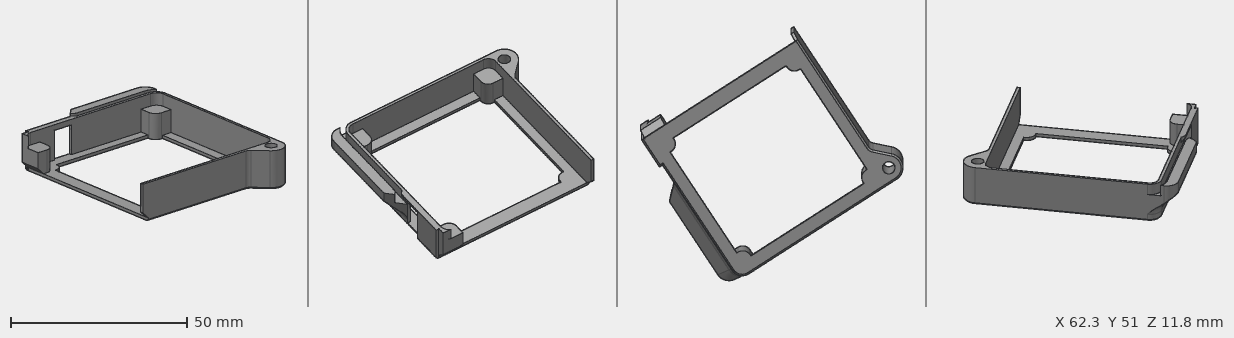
import cadquery as cq
import math

LENGTH = 62.3
DEPTH = 51.0
HEIGHT = 11.8

FLOOR = 1.0
BASE_LEFT = 4.85
PLATE_LEFT = 3.85
PLATE_BACK = 11.45
FRONT_EDGE = 2.05
BOTTOM_CHAMFER = 0.55
CAVITY_LEFT = 5.8
CAVITY_RIGHT = 55.75
CAVITY_FRONT = -0.1
CAVITY_BACK = 50.15
CAVITY_RADIUS = 2.5
RIGHT_FACE = 56.7
BASE_RADIUS = CAVITY_RADIUS + CAVITY_LEFT - BASE_LEFT
CORNER_X = BASE_LEFT + BASE_RADIUS
CORNER_Y = DEPTH - BASE_RADIUS

LUG_RADIUS = 4.05
LUG_HOLE = 3.5
LUG_FILLET = 2.0
LUG_X = LENGTH - LUG_RADIUS
LUG_Y = DEPTH - LUG_RADIUS

OPENING_X = 44.05
OPENING_Y = 40.4
OPENING_CENTER_X = (CAVITY_LEFT + CAVITY_RIGHT) / 2
OPENING_CENTER_Y = 26.7
PAD_REACH = 2.9
PAD_RADIUS = 2.5
POST_TOP = 8.0
FRONT_POST_BACK = 5.85
FRONT_POST_NOTCH = 0.25
FRONT_POST_RIGHT = OPENING_CENTER_X - OPENING_X / 2 + PAD_REACH

FLANGE_EDGE = 8.5
FLANGE_FRONT = 22.6
FLANGE_FILLET = 3.5
FLANGE_SLOPE = math.radians(45)
FLANGE_ROOT = 0.5

SLOT_LEFT = 3.2
SLOT_FLOOR = FLANGE_EDGE
SLOT_MOUTH_RADIUS = 2.0
SLOT_MOUTH_Y = 22.2

WINDOW_BACK = FLANGE_FRONT - BASE_LEFT
WINDOW_TOP = 10.0
LIP_ROUND_START = 18.9
LIP_BACK = LIP_ROUND_START + SLOT_MOUTH_RADIUS
LIP_EDGE = WINDOW_TOP + BASE_LEFT - PLATE_LEFT


def box(x0, x1, y0, y1, z0, z1):
    return cq.Workplane("XY").box(x1 - x0, y1 - y0, z1 - z0, centered=False).translate((x0, y0, z0))


def make_base():
    """Solid block with the lug, chamfered all round the bottom."""
    diagonal = math.sqrt(0.5)
    tangent_x = LUG_X + LUG_RADIUS * diagonal
    tangent_y = LUG_Y - LUG_RADIUS * diagonal
    lug_root_y = tangent_y - (tangent_x - RIGHT_FACE)
    outline = (
        cq.Workplane("XY")
        .moveTo(PLATE_LEFT, 0)
        .lineTo(RIGHT_FACE, 0)
        .lineTo(RIGHT_FACE, lug_root_y)
        .lineTo(tangent_x, tangent_y)
        .threePointArc((LENGTH, LUG_Y), (LUG_X, DEPTH))
        .lineTo(CORNER_X, DEPTH)
        .radiusArc((BASE_LEFT, CORNER_Y), -BASE_RADIUS)
        .lineTo(BASE_LEFT, PLATE_BACK)
        .lineTo(PLATE_LEFT, PLATE_BACK)
        .close()
    )
    block = outline.extrude(HEIGHT)
    lug_root = cq.selectors.NearestToPointSelector((RIGHT_FACE, lug_root_y, HEIGHT / 2))
    block = block.edges(lug_root).fillet(LUG_FILLET)
    return block.faces("<Z").edges("not <Y").chamfer(BOTTOM_CHAMFER)


def make_flange():
    """Flange whose sloped and filleted underside follows the left wall round the back corner."""
    slope_x = BASE_LEFT - FLANGE_FILLET * (1 - math.cos(FLANGE_SLOPE))
    slope_z = FLANGE_EDGE - slope_x
    fillet_z = slope_z - FLANGE_FILLET * math.sin(FLANGE_SLOPE)
    middle = (
        BASE_LEFT - FLANGE_FILLET * (1 - math.cos(FLANGE_SLOPE / 2)),
        fillet_z + FLANGE_FILLET * math.sin(FLANGE_SLOPE / 2),
    )
    root_x = BASE_LEFT + FLANGE_ROOT

    def profile(y):
        return (
            cq.Workplane("XZ", origin=(0, y, 0))
            .moveTo(0, HEIGHT)
            .lineTo(0, FLANGE_EDGE)
            .lineTo(slope_x, slope_z)
            .threePointArc(middle, (BASE_LEFT, fillet_z))
            .lineTo(root_x, fillet_z)
            .lineTo(root_x, HEIGHT)
            .close()
        )

    straight = profile(CORNER_Y).extrude(CORNER_Y - WINDOW_BACK)
    corner = profile(CORNER_Y).revolve(90, (CORNER_X, 0, 0), (CORNER_X, -1, 0))
    outline = (
        cq.Workplane("XY")
        .moveTo(0, FLANGE_FRONT)
        .lineTo(BASE_LEFT, WINDOW_BACK)
        .lineTo(CORNER_X, WINDOW_BACK)
        .lineTo(CORNER_X, DEPTH)
        .lineTo(BASE_RADIUS, DEPTH)
        .radiusArc((0, CORNER_Y), -BASE_RADIUS)
        .close()
        .extrude(HEIGHT)
    )
    return straight.union(corner).intersect(outline)


def make_lip():
    """Overhang above the window, with a 45 degree underside and a rounded back end."""
    lip = (
        cq.Workplane("XZ", origin=(0, LIP_BACK, 0))
        .moveTo(PLATE_LEFT, HEIGHT)
        .lineTo(PLATE_LEFT, LIP_EDGE)
        .lineTo(BASE_LEFT, WINDOW_TOP)
        .lineTo(CAVITY_LEFT, WINDOW_TOP)
        .lineTo(CAVITY_LEFT, HEIGHT)
        .close()
        .extrude(LIP_BACK - PLATE_BACK)
    )
    round_x = PLATE_LEFT + SLOT_MOUTH_RADIUS
    outline = (
        cq.Workplane("XY")
        .moveTo(PLATE_LEFT, PLATE_BACK)
        .lineTo(PLATE_LEFT, LIP_ROUND_START)
        .radiusArc((round_x, LIP_BACK), SLOT_MOUTH_RADIUS)
        .lineTo(round_x, PLATE_BACK)
        .close()
        .extrude(HEIGHT)
    )
    return lip.intersect(outline)


def make_slot():
    """Slot along the outside of the left wall, round the back corner, flared at its front mouth."""
    mouth_x = SLOT_LEFT - SLOT_MOUTH_RADIUS
    outer_corner = CORNER_X - SLOT_LEFT
    return (
        cq.Workplane("XY", origin=(0, 0, SLOT_FLOOR))
        .moveTo(mouth_x, SLOT_MOUTH_Y - SLOT_MOUTH_RADIUS)
        .radiusArc((SLOT_LEFT, SLOT_MOUTH_Y), -SLOT_MOUTH_RADIUS)
        .lineTo(SLOT_LEFT, CORNER_Y)
        .radiusArc((CORNER_X, CORNER_Y + outer_corner), outer_corner)
        .lineTo(CORNER_X, DEPTH)
        .radiusArc((BASE_LEFT, CORNER_Y), -BASE_RADIUS)
        .lineTo(BASE_LEFT, WINDOW_BACK)
        .lineTo(mouth_x, WINDOW_BACK)
        .close()
        .extrude(HEIGHT - SLOT_FLOOR)
    )


def make_cavity():
    """Room above the floor, less the corner posts that stand in it."""
    cavity = box(CAVITY_LEFT, CAVITY_RIGHT, CAVITY_FRONT, CAVITY_BACK, FLOOR, HEIGHT)
    cavity = cavity.edges("|Z").edges("<X or >Y").fillet(CAVITY_RADIUS)
    front_post = box(CAVITY_LEFT, FRONT_POST_RIGHT, CAVITY_FRONT, FRONT_POST_BACK, FLOOR, POST_TOP)
    cavity = cavity.cut(front_post.edges("|Z and >X and >Y").fillet(PAD_RADIUS))
    for side in (-1, 1):
        cavity = cavity.cut(make_pad(side, 1).intersect(box(0, LENGTH, 0, DEPTH, 0, POST_TOP)))
    return cavity


def make_pad(side_x, side_y):
    """Column at a corner of the floor opening, rounded on its inner edge and running outward to the walls."""
    corner_x = OPENING_CENTER_X + side_x * (OPENING_X / 2 - PAD_REACH)
    corner_y = OPENING_CENTER_Y + side_y * (OPENING_Y / 2 - PAD_REACH)
    size = CAVITY_BACK - CAVITY_FRONT
    pad = box(0, size, 0, size, 0, HEIGHT).edges("|Z and <X and <Y").fillet(PAD_RADIUS)
    if side_x < 0:
        pad = pad.mirror("YZ")
    if side_y < 0:
        pad = pad.mirror("XZ")
    return pad.translate((corner_x, corner_y, 0))


def make_opening():
    """Rectangular opening in the floor, less the pads in its four corners."""
    opening = cq.Workplane("XY").rect(OPENING_X, OPENING_Y).extrude(FLOOR)
    opening = opening.translate((OPENING_CENTER_X, OPENING_CENTER_Y, 0))
    for side_x in (-1, 1):
        for side_y in (-1, 1):
            opening = opening.cut(make_pad(side_x, side_y))
    return opening


def make_front_cut():
    """Material removed in front of the floor, with a 45 degree slope under the post and right wall."""
    under = (
        cq.Workplane("YZ")
        .moveTo(0, 0)
        .lineTo(FRONT_EDGE, 0)
        .lineTo(FRONT_EDGE, FLOOR)
        .lineTo(0, FLOOR + FRONT_EDGE)
        .close()
        .extrude(LENGTH)
    )
    beside_post = (
        cq.Workplane("XY")
        .moveTo(0, 0)
        .lineTo(BASE_LEFT, 0)
        .lineTo(BASE_LEFT, FRONT_EDGE + FRONT_POST_NOTCH)
        .lineTo(BASE_LEFT - FRONT_POST_NOTCH, FRONT_EDGE)
        .lineTo(0, FRONT_EDGE)
        .close()
        .extrude(HEIGHT)
    )
    return under.union(beside_post)


lug_hole = cq.Workplane("XY").center(LUG_X, LUG_Y).circle(LUG_HOLE / 2).extrude(HEIGHT)
window = box(PLATE_LEFT, CAVITY_LEFT, PLATE_BACK, WINDOW_BACK, FLOOR, WINDOW_TOP)

tray = make_base().cut(make_cavity()).cut(make_opening()).cut(window)
tray = tray.union(make_flange().cut(make_slot())).union(make_lip())
result = tray.cut(make_front_cut()).cut(lug_hole)